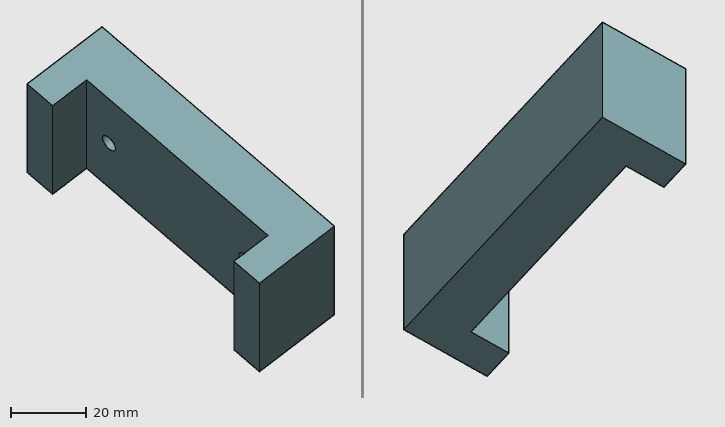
import cadquery as cq
import math

length = 90.0
depth = 27.4
height = 40.0

leg_width = 9.9
leg_length = 12.4

hole_diameter = 5.0
hole_depth = 7.2
hole_spacing = 52.9
drill_point_angle = 118.0
hole_tip_depth = hole_diameter / 2 / math.tan(math.radians(drill_point_angle / 2))

recess_floor_y = leg_length - depth / 2


def make_bracket():
    """U-shaped block: a back wall with a leg at each end."""
    block = cq.Workplane("XY").box(length, depth, height)
    recess = (
        cq.Workplane("XY")
        .box(length - 2 * leg_width, leg_length, height)
        .translate((0, (leg_length - depth) / 2, 0))
    )
    return block.cut(recess)


def make_hole(x):
    """Cutter for one blind hole with a conical end, running toward +Y."""
    radius = hole_diameter / 2
    profile = (
        cq.Workplane("XY")
        .moveTo(0, 0)
        .lineTo(radius, 0)
        .lineTo(radius, hole_depth)
        .lineTo(0, hole_depth + hole_tip_depth)
        .close()
    )
    cutter = profile.revolve(360, (0, 0, 0), (0, 1, 0))
    return cutter.translate((x, recess_floor_y, 0))


result = make_bracket()
for side in (-1, 1):
    result = result.cut(make_hole(side * hole_spacing / 2))